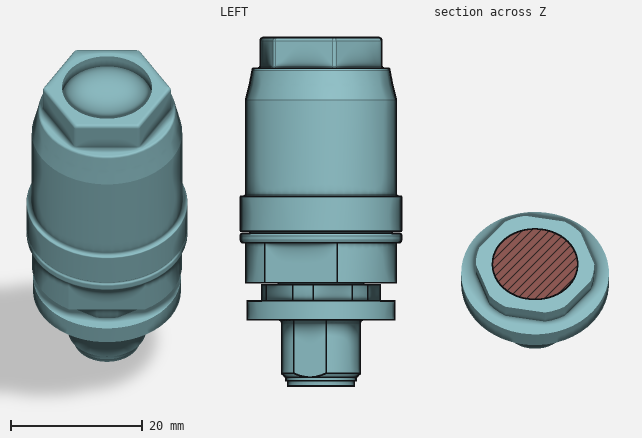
import cadquery as cq
import math

FLAT_ANGLE = 162.0

TIP_RADIUS = 5.1
TIP_TOP = 0.8
PILOT_RADIUS = 5.35
PILOT_TOP = 1.35
SHANK_RADIUS = 6.0
SHANK_CHAMFER_TOP = 1.95
SHANK_FLAT_OFFSET = 5.4
SHANK_FILLET = 0.4
FLANGE_RADIUS = 11.25
FLANGE_BOTTOM = 10.1
FLANGE_TOP = 13.0
BASE_HEX_RADIUS = 9.05
BASE_HEX_TOP = 15.45
NECK_RADIUS = 6.55
COLLAR_RADIUS = 11.5
COLLAR_BOTTOM = 15.75
COLLAR_FLAT_OFFSET = 9.9
RIM_BOTTOM = 21.85
RIM_TOP = 23.3
RIM_TOP_FILLET = 0.3
RIM_BOTTOM_FILLET = 0.5
SEAT_RADIUS = 10.85

BAND_RADIUS = 12.3
CAP_BOTTOM = 23.6
BAND_TOP = 28.95
BAND_EDGE_FILLET = 0.15
BARREL_RADIUS = 11.5
BARREL_TOP = 43.7
BARREL_ROOT_FILLET = 0.3
SHOULDER_RADIUS = 10.4
SHOULDER_TOP = 48.45
SHOULDER_FILLET = 0.35
CAP_TOP = 53.15
HEX_CORNER_FILLET = 0.6
HEX_TOP_FILLET = 0.55
HEX_ROOT_FILLET = 0.3
RECESS_RADIUS = 6.85
RECESS_DEPTH = 2.1

HEX_ACROSS_FLATS = 17.0
HEX_HALF_STEP = 30.0
HEX_CORNER_RADIUS = HEX_ACROSS_FLATS / 2 / math.cos(math.radians(HEX_HALF_STEP))

SELECT_MARGIN = 0.05


def cylinder(radius, bottom, top):
    """Upright cylinder on the Z axis between two heights."""
    return cq.Workplane("XY").workplane(offset=bottom).circle(radius).extrude(top - bottom)


def hexagon(bottom, top, flat_angle):
    """Upright hexagonal prism with one flat facing flat_angle."""
    base_plane = cq.Workplane("XY").workplane(offset=bottom)
    prism = base_plane.polygon(6, 2 * HEX_CORNER_RADIUS).extrude(top - bottom)
    return prism.rotate((0, 0, 0), (0, 0, 1), flat_angle + HEX_HALF_STEP)


def flat_slab(offset, bottom, top):
    """Slab whose two parallel sides lie at the given offset from the Z axis."""
    slab = cq.Workplane("XY").box(2 * offset, 4 * offset, top - bottom, centered=(True, True, False))
    return slab.translate((0, 0, bottom)).rotate((0, 0, 0), (0, 0, 1), FLAT_ANGLE)


def edges_near(height, reach):
    """Selector for the edges at one height that stay within a reach of the Z axis."""
    half_width = reach + SELECT_MARGIN
    return cq.selectors.BoxSelector(
        (-half_width, -half_width, height - SELECT_MARGIN),
        (half_width, half_width, height + SELECT_MARGIN),
        boundingbox=True,
    )


def make_shank():
    """Stepped lower end with a chamfered, double-flatted shank under a round flange."""
    tip = cylinder(TIP_RADIUS, 0, TIP_TOP)
    pilot = cylinder(PILOT_RADIUS, TIP_TOP, PILOT_TOP)
    shank_profile = [
        (0, PILOT_TOP),
        (PILOT_RADIUS, PILOT_TOP),
        (SHANK_RADIUS, SHANK_CHAMFER_TOP),
        (SHANK_RADIUS, FLANGE_BOTTOM),
        (0, FLANGE_BOTTOM),
    ]
    shank = cq.Workplane("XZ").polyline(shank_profile).close().revolve(360, (0, 0, 0), (0, 1, 0))
    shank = shank.intersect(flat_slab(SHANK_FLAT_OFFSET, PILOT_TOP, FLANGE_BOTTOM))
    flange = cylinder(FLANGE_RADIUS, FLANGE_BOTTOM, FLANGE_TOP)
    flanged_shank = shank.union(flange)
    root = edges_near(FLANGE_BOTTOM, SHANK_RADIUS)
    flanged_shank = flanged_shank.edges(root).fillet(SHANK_FILLET)
    return flanged_shank.union(pilot).union(tip)


def make_base():
    """Shank, turned-down hexagon, flatted collar, rounded rim and the seat for the cap."""
    base_hex = hexagon(FLANGE_TOP, BASE_HEX_TOP, FLAT_ANGLE + HEX_HALF_STEP)
    base_hex = base_hex.intersect(cylinder(BASE_HEX_RADIUS, FLANGE_TOP, BASE_HEX_TOP))
    neck = cylinder(NECK_RADIUS, BASE_HEX_TOP, COLLAR_BOTTOM)
    collar = cylinder(COLLAR_RADIUS, COLLAR_BOTTOM, RIM_BOTTOM)
    collar = collar.intersect(flat_slab(COLLAR_FLAT_OFFSET, COLLAR_BOTTOM, RIM_BOTTOM))
    rim = cylinder(BAND_RADIUS, RIM_BOTTOM, RIM_TOP)
    rim = rim.faces(">Z").edges().fillet(RIM_TOP_FILLET)
    rim = rim.faces("<Z").edges().fillet(RIM_BOTTOM_FILLET)
    seat = cylinder(SEAT_RADIUS, RIM_TOP, CAP_BOTTOM)
    return make_shank().union(base_hex).union(neck).union(collar).union(rim).union(seat)


def make_cap_shell():
    """Banded barrel with a tapered, rounded shoulder."""
    band = cylinder(BAND_RADIUS, CAP_BOTTOM, BAND_TOP)
    band = band.faces("<Z or >Z").edges().fillet(BAND_EDGE_FILLET)
    barrel_profile = [
        (0, BAND_TOP),
        (BARREL_RADIUS, BAND_TOP),
        (BARREL_RADIUS, BARREL_TOP),
        (SHOULDER_RADIUS, SHOULDER_TOP),
        (0, SHOULDER_TOP),
    ]
    barrel = cq.Workplane("XZ").polyline(barrel_profile).close().revolve(360, (0, 0, 0), (0, 1, 0))
    barrel = barrel.faces(">Z").edges().fillet(SHOULDER_FILLET)
    shell = band.union(barrel)
    return shell.edges(edges_near(BAND_TOP, BARREL_RADIUS)).fillet(BARREL_ROOT_FILLET)


def make_cap():
    """Cap shell with a rounded hexagonal head and a blind round recess in its top."""
    head = hexagon(SHOULDER_TOP, CAP_TOP, FLAT_ANGLE)
    head = head.edges("|Z").fillet(HEX_CORNER_FILLET)
    head = head.faces(">Z").edges().fillet(HEX_TOP_FILLET)
    cap = make_cap_shell().union(head)
    cap = cap.edges(edges_near(SHOULDER_TOP, HEX_CORNER_RADIUS)).fillet(HEX_ROOT_FILLET)
    return cap.cut(cylinder(RECESS_RADIUS, CAP_TOP - RECESS_DEPTH, CAP_TOP))


base = make_base()
cap = make_cap()
result = cq.Compound.makeCompound([base.val(), cap.val()])